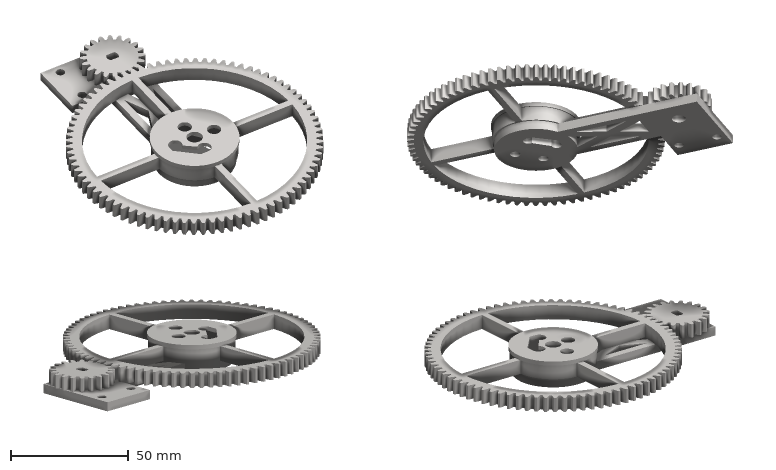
import cadquery as cq
import math


WHEEL_TIP_DIAMETER = 109.2
WHEEL_TEETH = 84
PINION_TEETH = 20
PRESSURE_ANGLE = math.radians(20)
MODULE = WHEEL_TIP_DIAMETER / (WHEEL_TEETH + 2)
DEDENDUM = 1.25 * MODULE
CENTRE_DISTANCE = MODULE * (WHEEL_TEETH + PINION_TEETH) / 2

BASE_HEIGHT = 4.0
WHEEL_HEIGHT = 6.5
PINION_HEIGHT = 6.0
CAP_HEIGHT = 1.9
WHEEL_TOP = BASE_HEIGHT + WHEEL_HEIGHT

PLATE_WIDTH = 25.5
PLATE_FRONT = -28.0
ARM_WIDTH = 20.7
FRAME_BAR = 3.2
BRACE_WIDTH = 4.0
DISC_DIAMETER = 35.5
BASE_HOLE_DIAMETER = 4.5
BASE_HOLE_X = 9.5
BASE_HOLE_Y = 8.1
BASE_SLOT_INSET = 1.2
WINDOW_END = -17.0
MOUNT_HOLE_DIAMETER = 4.0
MOUNT_HOLE_SPACING = 17.5
MOUNT_HOLE_Y = -20.6
SHAFT_HOLE_DIAMETER = 6.0

SHAFT_DIAMETER = 5.4
SHAFT_ACROSS_FLATS = 3.8

RIM_BORE = 95.5
SPOKE_WIDTH = 3.1
HUB_DIAMETER = 37.1
HUB_BORE = 26.6

CAP_DIAMETER = 38.0
CAP_BORE = 7.0
CAP_HOLE_DIAMETER = 6.0
CAP_HOLE_X = 8.0
CAP_HOLE_Y = 9.7
CAP_SLOT_INSET = 0

SLOT_SIDE_WALL = 3.6
SLOT_END_WALL = 2.7


def polar(radius, angle):
    return (radius * math.cos(angle), radius * math.sin(angle))


def gear(teeth, height):
    """Spur gear standing on Z = 0, with a tooth space on the +X axis."""
    pitch_radius = MODULE * teeth / 2
    base_radius = pitch_radius * math.cos(PRESSURE_ANGLE)
    tip_radius = pitch_radius + MODULE
    root_radius = pitch_radius - DEDENDUM
    flank_start = max(base_radius, root_radius)
    flank_middle = (flank_start + tip_radius) / 2
    pitch = 2 * math.pi / teeth

    def involute(angle):
        return math.tan(angle) - angle

    def half_angle(radius):
        """Half of the angle that a tooth spans at a radius."""
        pressure = math.acos(min(1, base_radius / radius))
        return pitch / 4 + involute(PRESSURE_ANGLE) - involute(pressure)

    root_half = half_angle(flank_start)
    middle_half = half_angle(flank_middle)
    tip_half = half_angle(tip_radius)

    outline = cq.Workplane("XY").moveTo(*polar(root_radius, pitch / 2 - root_half))
    for tooth in range(teeth):
        axis = (tooth + 0.5) * pitch
        if flank_start > root_radius:
            outline = outline.lineTo(*polar(flank_start, axis - root_half))
        outline = outline.threePointArc(
            polar(flank_middle, axis - middle_half), polar(tip_radius, axis - tip_half)
        )
        outline = outline.threePointArc(polar(tip_radius, axis), polar(tip_radius, axis + tip_half))
        outline = outline.threePointArc(
            polar(flank_middle, axis + middle_half), polar(flank_start, axis + root_half)
        )
        if flank_start > root_radius:
            outline = outline.lineTo(*polar(root_radius, axis + root_half))
        outline = outline.threePointArc(
            polar(root_radius, axis + pitch / 2), polar(root_radius, axis + pitch - root_half)
        )
    return outline.close().extrude(height)


def cylinder(diameter, height):
    return cq.Workplane("XY").circle(diameter / 2).extrude(height)


def hole_pattern(diameter, x, y, slot_inset, height):
    """Four round holes on the axes, with a slot that joins the +X hole to the -Y hole.

    The inner side of the slot runs parallel to the line of the two hole centres, inset
    towards the origin. The outer side links two straight walls that touch the holes.
    """
    radius = diameter / 2
    span = math.hypot(x, y)
    slot = cq.Workplane("XY").polyline([
        (x - slot_inset * span / y, 0),
        (x + radius, 0),
        (x + radius, -SLOT_SIDE_WALL),
        (SLOT_END_WALL, -y - radius),
        (0, -y - radius),
        (0, slot_inset * span / x - y),
    ])
    slot = slot.close().extrude(height)
    centres = [(x, 0), (-x, 0), (0, y), (0, -y)]
    return slot.union(cq.Workplane("XY").pushPoints(centres).circle(radius).extrude(height))


def make_base():
    plate_back = ARM_WIDTH / 2
    plate_depth = plate_back - PLATE_FRONT
    plate_right = PLATE_WIDTH / 2 - CENTRE_DISTANCE
    plate = (
        cq.Workplane("XY")
        .center(-CENTRE_DISTANCE, plate_back - plate_depth / 2)
        .rect(PLATE_WIDTH, plate_depth)
        .extrude(BASE_HEIGHT)
    )

    arm = cq.Workplane("XY").box(-plate_right, ARM_WIDTH, BASE_HEIGHT, centered=(False, True, False))
    arm = arm.translate((plate_right, 0, 0))
    window_start = plate_right + FRAME_BAR
    window_length = WINDOW_END - window_start
    window_width = ARM_WIDTH - 2 * FRAME_BAR
    window_middle = (window_start + WINDOW_END) / 2
    window = (
        cq.Workplane("XY")
        .center(window_middle, 0)
        .rect(window_length, window_width)
        .extrude(BASE_HEIGHT)
    )
    brace_length = math.hypot(window_length, window_width)
    brace_angle = math.degrees(math.atan2(window_width, window_length))
    for angle in (brace_angle, -brace_angle):
        brace = cq.Workplane("XY").rect(brace_length + BRACE_WIDTH, BRACE_WIDTH).extrude(BASE_HEIGHT)
        window = window.cut(brace.rotate((0, 0, 0), (0, 0, 1), angle).translate((window_middle, 0, 0)))
    arm = arm.cut(window)

    base = plate.union(arm).union(cylinder(DISC_DIAMETER, BASE_HEIGHT))

    holes = hole_pattern(BASE_HOLE_DIAMETER, BASE_HOLE_X, BASE_HOLE_Y, BASE_SLOT_INSET, BASE_HEIGHT)
    base = base.cut(holes.rotate((0, 0, 0), (0, 0, 1), 180))

    for side in (-1, 1):
        x = -CENTRE_DISTANCE + side * MOUNT_HOLE_SPACING / 2
        base = base.cut(cylinder(MOUNT_HOLE_DIAMETER, BASE_HEIGHT).translate((x, MOUNT_HOLE_Y, 0)))
    return base.cut(cylinder(SHAFT_HOLE_DIAMETER, BASE_HEIGHT).translate((-CENTRE_DISTANCE, 0, 0)))


def make_wheel():
    wheel = gear(WHEEL_TEETH, WHEEL_HEIGHT).cut(cylinder(RIM_BORE, WHEEL_HEIGHT))
    spoke_length = RIM_BORE + MODULE
    for size in ((spoke_length, SPOKE_WIDTH), (SPOKE_WIDTH, spoke_length)):
        wheel = wheel.union(cq.Workplane("XY").rect(*size).extrude(WHEEL_HEIGHT))
    wheel = wheel.union(cylinder(HUB_DIAMETER, WHEEL_HEIGHT))
    wheel = wheel.cut(cylinder(HUB_BORE, WHEEL_HEIGHT))
    return wheel.translate((0, 0, BASE_HEIGHT))


def make_pinion(wheel):
    """Pinion whose teeth are cleared where the wheel teeth meet them."""
    shaft_hole = cylinder(SHAFT_DIAMETER, PINION_HEIGHT).intersect(
        cq.Workplane("XY").rect(SHAFT_ACROSS_FLATS, SHAFT_DIAMETER).extrude(PINION_HEIGHT)
    )
    pinion = gear(PINION_TEETH, PINION_HEIGHT).cut(shaft_hole)
    return pinion.translate((-CENTRE_DISTANCE, 0, BASE_HEIGHT)).cut(wheel)


def make_cap():
    cap = cylinder(CAP_DIAMETER, CAP_HEIGHT).cut(cylinder(CAP_BORE, CAP_HEIGHT))
    holes = hole_pattern(CAP_HOLE_DIAMETER, CAP_HOLE_X, CAP_HOLE_Y, CAP_SLOT_INSET, CAP_HEIGHT)
    return cap.cut(holes).translate((0, 0, WHEEL_TOP))


base = make_base()
wheel = make_wheel()
pinion = make_pinion(wheel)
cap = make_cap()

result = cq.Compound.makeCompound([body.solids().val() for body in (base, wheel, pinion, cap)])